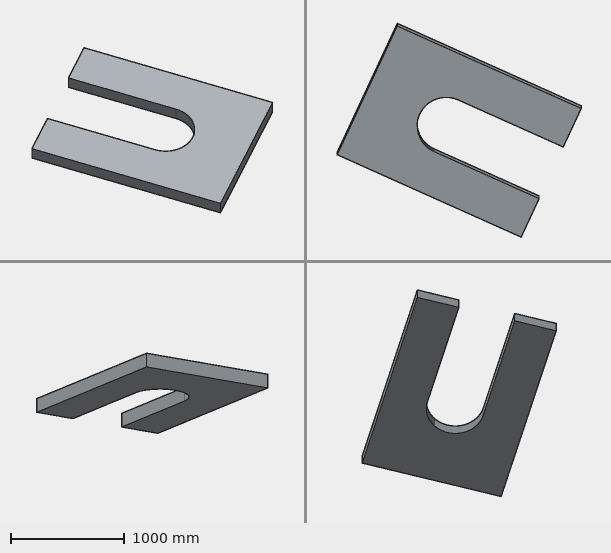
import cadquery as cq

length = 1778.0
width = 1270.0
thickness = 126.0

slot_width = 509.0
slot_depth = 1270.0
slot_radius = slot_width / 2
straight_depth = slot_depth - slot_radius

outline = (
    cq.Workplane("XY")
    .moveTo(0, -width / 2)
    .lineTo(length, -width / 2)
    .lineTo(length, width / 2)
    .lineTo(0, width / 2)
    .lineTo(0, slot_radius)
    .lineTo(straight_depth, slot_radius)
    .threePointArc((slot_depth, 0), (straight_depth, -slot_radius))
    .lineTo(0, -slot_radius)
    .close()
)

result = outline.extrude(thickness)